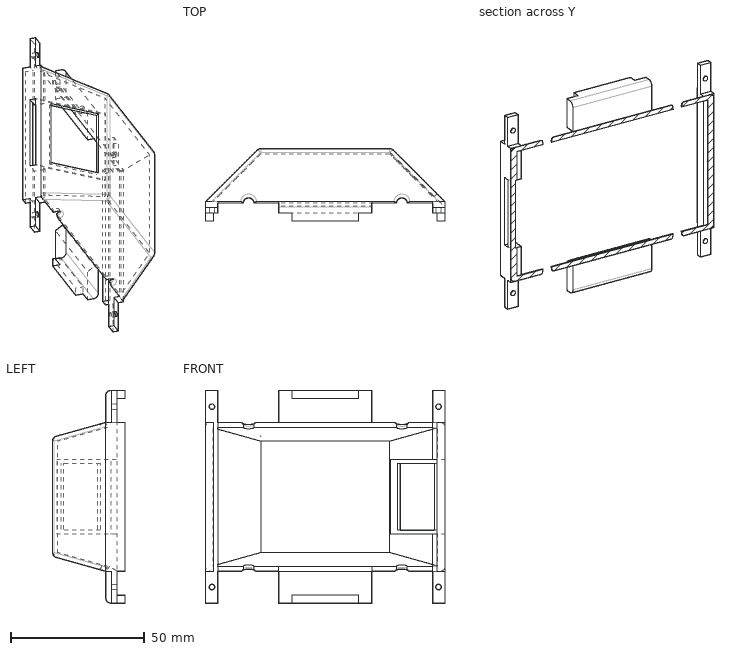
import cadquery as cq
import math

LENGTH = 90.0
HEIGHT = 80.0
DEPTH = 27.3

STEP_Y = 3.0
BAR_DEPTH = 4.3
RIM_Y = STEP_Y + BAR_DEPTH

MOUTH_HEIGHT = 56.0
BACK_HEIGHT = 44.8
WALL = 2.0
SHELL_FILLET = 2.0
SHELL_DEPTH = DEPTH - RIM_Y
TAPER = math.atan2((MOUTH_HEIGHT - BACK_HEIGHT) / 2, SHELL_DEPTH)
RIM_LIP = WALL * math.sin(TAPER)
RIM_INSET = WALL * math.cos(TAPER)
INNER_RIM_Y = RIM_Y - RIM_LIP
INNER_BACK_Y = DEPTH - WALL

NOTCH_X = 28.8
NOTCH_RADIUS = 2.0
NOTCH_ROUNDING = 1.0

BAR_WIDTH = 4.7
RAIL_WIDTH = 3.1
EAR_DEPTH = 2.2
EAR_HOLE_DIAMETER = 2.0
EAR_HOLE_INSET_X = 2.4
EAR_HOLE_INSET_Z = 6.1

WINDOW_LENGTH = 19.5
WINDOW_HEIGHT = 25.0
WINDOW_OFFSET = 3.7
RECESS_HEIGHT = 28.1
RECESS_DEPTH = 0.5

CLIP_LENGTH = 35.0
CLIP_FILLET = 2.0
TAB_LENGTH = 25.1
TAB_HEIGHT = 3.1
RIDGE_SETBACK = 2.8


def box(x_range, y_range, z_range):
    """Box spanning the given (low, high) ranges."""
    lows, highs = zip(x_range, y_range, z_range)
    sizes = [high - low for low, high in zip(lows, highs)]
    return cq.Workplane("XY").box(*sizes, centered=False).translate(lows)


def centred(size):
    """Range of the given size about zero."""
    return (-size / 2, size / 2)


def taper_section(inset, y):
    """Length and height at depth y of the taper lying `inset` inside the outer shell faces."""
    travel = y - RIM_Y
    length = LENGTH - 2 * travel - 2 * inset * math.sqrt(2)
    height = MOUTH_HEIGHT - 2 * travel * math.tan(TAPER) - 2 * inset / math.cos(TAPER)
    return length, height


def frustum(inset, front_y, back_y):
    """Tapered block lying `inset` inside the outer faces of the four sloping walls."""
    return (
        cq.Workplane("XZ", origin=(0, front_y, 0))
        .rect(*taper_section(inset, front_y))
        .workplane(offset=front_y - back_y)
        .rect(*taper_section(inset, back_y))
        .loft(ruled=True)
    )


def rim_trim():
    """Prism that leaves the upper rim square to its wall."""
    outer_z = MOUTH_HEIGHT / 2
    inner_z = outer_z - RIM_INSET
    above_z = outer_z + WALL
    return (
        cq.Workplane("YZ", origin=(-LENGTH, 0, 0))
        .polyline([(RIM_Y, outer_z), (INNER_RIM_Y, inner_z), (INNER_RIM_Y, above_z), (RIM_Y, above_z)])
        .close()
        .extrude(2 * LENGTH)
    )


def notch_cutter(x):
    """Round plug square to the upper wall, flaring out to the outer face."""
    plane = cq.Plane(
        origin=(x, INNER_RIM_Y, MOUTH_HEIGHT / 2 - RIM_INSET),
        xDir=(1, 0, 0),
        normal=(0, -math.cos(TAPER), math.sin(TAPER)),
    )
    flare_radius = NOTCH_RADIUS + NOTCH_ROUNDING
    rounding_start = WALL - NOTCH_ROUNDING
    arc_offset = NOTCH_ROUNDING * math.sqrt(0.5)
    return (
        cq.Workplane(plane)
        .moveTo(0, -WALL)
        .lineTo(NOTCH_RADIUS, -WALL)
        .lineTo(NOTCH_RADIUS, rounding_start)
        .threePointArc((flare_radius - arc_offset, rounding_start + arc_offset), (flare_radius, WALL))
        .lineTo(flare_radius, 2 * WALL)
        .lineTo(0, 2 * WALL)
        .close()
        .revolve(360, (0, 0), (0, 1))
    )


def make_shell():
    """Hollow tray with rounded outer edges and notched rims."""
    outer = frustum(0, INNER_RIM_Y, DEPTH).edges("not <Y").fillet(SHELL_FILLET)
    outer = outer.intersect(box(centred(LENGTH), (0, DEPTH), centred(HEIGHT)))
    shell = outer.cut(frustum(WALL, STEP_Y, INNER_BACK_Y))
    upper_cutters = [rim_trim(), notch_cutter(-NOTCH_X), notch_cutter(NOTCH_X)]
    for cutter in upper_cutters:
        shell = shell.cut(cutter).cut(cutter.mirror("XY"))
    return shell


def make_side_bar():
    """Bar along the +X end of the mouth, with its rail and its two drilled ears."""
    end_x = LENGTH / 2
    bar_x = (end_x - BAR_WIDTH, end_x)
    bar = box(bar_x, (STEP_Y, RIM_Y), centred(MOUTH_HEIGHT))
    rail = box((end_x - RAIL_WIDTH, end_x), (0, STEP_Y), centred(MOUTH_HEIGHT))
    ears = box(bar_x, (STEP_Y, STEP_Y + EAR_DEPTH), centred(HEIGHT))
    hole_z = HEIGHT / 2 - EAR_HOLE_INSET_Z
    holes = (
        cq.Workplane("XZ")
        .pushPoints([(end_x - EAR_HOLE_INSET_X, -hole_z), (end_x - EAR_HOLE_INSET_X, hole_z)])
        .circle(EAR_HOLE_DIAMETER / 2)
        .extrude(-DEPTH)
    )
    return bar.union(rail).union(ears).cut(holes)


def window_cutter():
    """Window and recess, square to the sloping +X wall; the recess runs on behind the rail."""
    inner_length, _ = taper_section(WALL, INNER_BACK_Y)
    plane = cq.Plane(origin=(inner_length / 2, INNER_BACK_Y, 0), xDir=(1, -1, 0), normal=(1, 1, 0))
    recess_length = DEPTH * math.sqrt(2)
    recess = (
        cq.Workplane(plane)
        .workplane(offset=RECESS_DEPTH)
        .center(recess_length / 2, 0)
        .rect(recess_length, RECESS_HEIGHT)
        .extrude(-(BAR_WIDTH + RECESS_DEPTH))
        .intersect(box((0, LENGTH), (STEP_Y, DEPTH), centred(RECESS_HEIGHT)))
    )
    window = (
        cq.Workplane(plane)
        .center(WINDOW_OFFSET + WINDOW_LENGTH / 2, 0)
        .rect(WINDOW_LENGTH, WINDOW_HEIGHT)
        .extrude(2 * WALL)
    )
    return recess.union(window)


def make_housing():
    side_bar = make_side_bar()
    return make_shell().union(side_bar).union(side_bar.mirror("YZ")).cut(window_cutter())


def make_clip():
    """Upper clip: a block with a rounded outer back edge and a tab along its front."""
    top_z = HEIGHT / 2
    block = box(centred(CLIP_LENGTH), (STEP_Y, RIM_Y), (MOUTH_HEIGHT / 2, top_z))
    block = block.edges(">Y and >Z").fillet(CLIP_FILLET)
    return block.union(box(centred(TAB_LENGTH), (0, STEP_Y), (top_z - TAB_HEIGHT, top_z)))


def clip_ridge():
    """Ridge on the lower clip, rising in front of the rim to the height of its inner edge."""
    base_z = -MOUTH_HEIGHT / 2
    return (
        cq.Workplane("YZ", origin=(-CLIP_LENGTH / 2, 0, 0))
        .polyline([(STEP_Y, base_z), (STEP_Y + RIDGE_SETBACK, base_z + RIM_INSET), (RIM_Y, base_z)])
        .close()
        .extrude(CLIP_LENGTH)
    )


housing = make_housing()
upper_clip = make_clip()
lower_clip = make_clip().mirror("XY").union(clip_ridge())

result = cq.Compound.makeCompound([housing.val(), upper_clip.val(), lower_clip.val()])